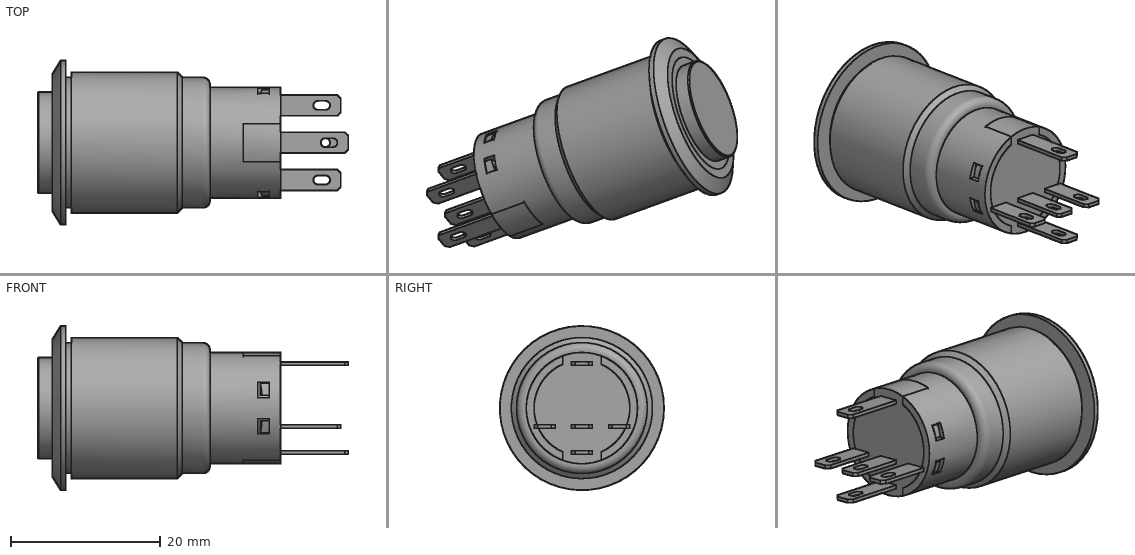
import cadquery as cq


button_dia = 13.6
button_edge_chamfer = 0.15
ring_dia = 15.8

bezel_front_x = 1.95
bezel_rim_x = 3.08
bezel_back_x = 3.8
thread_start_x = 4.55
thread_end_x = 18.7
neck_start_x = 19.4
neck_end_x = 23.1
rear_x = 32.55

bezel_face_dia = 18.3
bezel_dia = 22.0
neck_dia = 17.5
thread_dia = 18.9
shell_dia = 14.9
bore_dia = 12.8
neck_fillet = 1.0

key_front_x = 27.5
key_width = 5.1

window_front_x = 29.5
window_back_x = 31.05
window_low_z = 1.4
window_high_z = 3.45

clip_toe_x = 29.8
clip_ramp_end_x = 30.1
clip_low_z = 1.7
clip_high_z = 3.33
clip_dia = 14.55

terminal_width = 2.83
terminal_thickness = 0.5
terminal_tip_chamfer = 0.5
terminal_short_tip_x = 40.6
terminal_long_tip_x = 41.6
slot_length = 2.2
slot_width = 1.15
slot_inset = 2.6
outer_terminal_z = 5.95
terminal_pitch = 5.0
terminal_row_z = -2.45

terminals = [
    (terminal_long_tip_x, 0, outer_terminal_z),
    (terminal_long_tip_x, 0, -outer_terminal_z),
    (terminal_short_tip_x, -terminal_pitch, terminal_row_z),
    (terminal_short_tip_x, 0, terminal_row_z),
    (terminal_short_tip_x, terminal_pitch, terminal_row_z),
]


def rod(diameter, start_x, end_x):
    """Cylinder on the X axis between two stations."""
    return cq.Workplane("YZ", origin=(start_x, 0, 0)).circle(diameter / 2).extrude(end_x - start_x)


def block(x_range, y_range, z_range):
    """Box between the given limits on each axis."""
    sizes = [high - low for low, high in (x_range, y_range, z_range)]
    corner = (x_range[0], y_range[0], z_range[0])
    return cq.Workplane("XY", origin=corner).box(*sizes, centered=False)


def on_all_sides(shape):
    """The shape and its mirror images across the XZ and XY planes."""
    both = [shape, shape.mirror("XZ")]
    return both + [side.mirror("XY") for side in both]


def make_keys():
    """Two segments of the shell wall, at +Z and -Z, that belong to the plug."""
    wall = rod(shell_dia, key_front_x, rear_x).cut(rod(bore_dia, key_front_x, rear_x))
    strip = block((key_front_x, rear_x), (-key_width / 2, key_width / 2), (-shell_dia, shell_dia))
    return wall.intersect(strip)


def make_housing():
    """Bezel, threaded barrel, neck and hollow rear shell."""
    profile = [
        (bezel_front_x, 0),
        (bezel_front_x, bezel_face_dia / 2),
        (bezel_rim_x, bezel_dia / 2),
        (bezel_back_x, bezel_dia / 2),
        (bezel_back_x, neck_dia / 2),
        (thread_start_x, neck_dia / 2),
        (thread_start_x, thread_dia / 2),
        (thread_end_x, thread_dia / 2),
        (neck_start_x, neck_dia / 2),
        (neck_end_x, neck_dia / 2),
        (neck_end_x, 0),
    ]
    barrel = cq.Workplane("XY").polyline(profile).close().revolve(360, (0, 0, 0), (1, 0, 0))
    barrel = barrel.faces(">X").edges().fillet(neck_fillet)
    housing = barrel.union(rod(shell_dia, neck_end_x, rear_x))

    housing = housing.cut(rod(ring_dia, bezel_front_x, bezel_back_x))
    housing = housing.cut(rod(bore_dia, key_front_x, rear_x))
    housing = housing.cut(make_keys())
    window = block((window_front_x, window_back_x), (0, shell_dia), (window_low_z, window_high_z))
    for opening in on_all_sides(window):
        housing = housing.cut(opening)
    return housing


def make_button():
    """Push button with the light ring around it, seated in the bezel."""
    cap = rod(button_dia, 0, bezel_front_x).faces("<X").edges().chamfer(button_edge_chamfer)
    return cap.union(rod(ring_dia, bezel_front_x, bezel_back_x))


def make_clip():
    """Snap clip with a ramped front, reaching out of the plug into a window."""
    root_y = bore_dia / 2
    ramp = [
        (clip_toe_x, 0),
        (clip_toe_x, root_y),
        (clip_ramp_end_x, clip_dia / 2),
        (window_back_x, clip_dia / 2),
        (window_back_x, 0),
    ]
    prism = cq.Workplane("XY", origin=(0, 0, clip_low_z)).polyline(ramp).close()
    prism = prism.extrude(clip_high_z - clip_low_z)
    return prism.intersect(rod(clip_dia, clip_toe_x, window_back_x))


def make_terminal(tip_x, y, z):
    """Flat terminal with a chamfered tip and a wire slot."""
    half_width = terminal_width / 2
    half_thickness = terminal_thickness / 2
    blade = block(
        (rear_x, tip_x),
        (y - half_width, y + half_width),
        (z - half_thickness, z + half_thickness),
    )
    blade = blade.faces(">X").edges("|Z").chamfer(terminal_tip_chamfer)
    slot = cq.Workplane("XY", origin=(tip_x - slot_inset, y, z - half_thickness))
    slot = slot.slot2D(slot_length, slot_width).extrude(terminal_thickness)
    return blade.cut(slot)


def make_plug():
    """Rear plug with two keys, four snap clips and five terminals."""
    plug = rod(bore_dia, key_front_x, rear_x).union(make_keys())
    for clip in on_all_sides(make_clip()):
        plug = plug.union(clip)
    for tip_x, y, z in terminals:
        plug = plug.union(make_terminal(tip_x, y, z))
    return plug


housing = make_housing()
button = make_button()
plug = make_plug()

result = cq.Compound.makeCompound([housing.val(), button.val(), plug.val()])